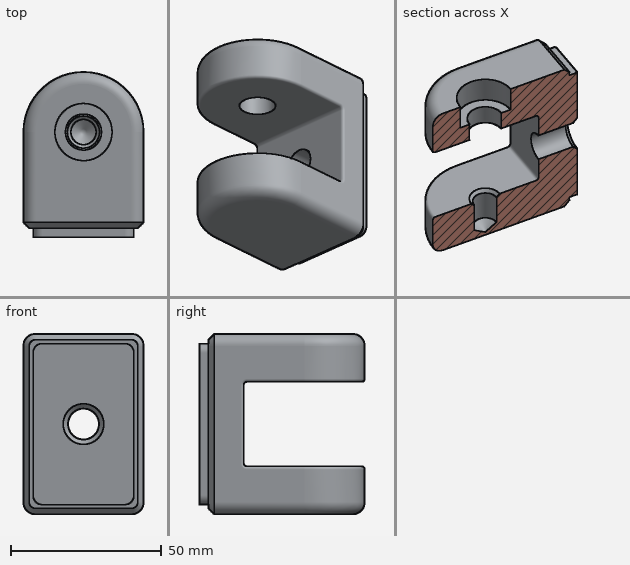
import cadquery as cq
import math

height = 60.0
width = 40.0
nose_radius = width / 2
body_front = -32.0
edge_radius = 4.0
front_chamfer = 2.0

pad_thickness = 3.0
pad_width = 33.5
pad_height = 53.5
pad_corner_radius = 3.0
pad_front = body_front - pad_thickness

slot_height = 28.0
slot_floor = -20.15
slot_edge_radius = 1.0

pin_bore_diameter = 12.0
pin_head_diameter = 19.0
pin_head_depth = 9.0

thread_diameter = 8.4
thread_mouth_diameter = 10.7
thread_depth = 12.0
drill_tip_angle = 118.0

mount_diameter = 10.2
mount_mouth_diameter = 13.5


def make_body():
    """Block with a half-round nose, rounded top and bottom edges and a chamfered front."""
    body = (
        cq.Workplane("XY", origin=(0, 0, -height / 2))
        .moveTo(-nose_radius, body_front)
        .lineTo(nose_radius, body_front)
        .lineTo(nose_radius, 0)
        .threePointArc((0, nose_radius), (-nose_radius, 0))
        .close()
        .extrude(height)
    )
    body = body.faces("|Z").edges("not <Y").fillet(edge_radius)
    return body.faces("<Y").chamfer(front_chamfer)


def cut_slot(body):
    """Open the slot toward the nose and round its floor corners and rim."""
    slot_length = width - slot_floor
    slot = (
        cq.Workplane("XY")
        .box(2 * width, slot_length, slot_height)
        .translate((0, slot_floor + slot_length / 2, 0))
        .edges("|X and <Y")
        .fillet(slot_edge_radius)
    )
    slotted = body.cut(slot)
    margin = 0.05
    rim = slotted.edges(cq.selectors.BoxSelector(
        (-width, slot_floor - margin, -slot_height / 2 - margin),
        (width, width, slot_height / 2 + margin),
    ))
    outer_rim = [
        edge for edge in rim.vals()
        if edge.geomType() == "CIRCLE" or edge.BoundingBox().xlen < margin
    ]
    return slotted.newObject(outer_rim).fillet(slot_edge_radius)


def make_pad():
    """Rounded rectangular pad standing proud of the front face."""
    return (
        cq.Workplane("XY")
        .box(pad_width, pad_thickness, pad_height)
        .edges("|Y")
        .fillet(pad_corner_radius)
        .translate((0, body_front - pad_thickness / 2, 0))
    )


def make_pin_cutter():
    """Counterbored pin hole, cut down from the top of the upper arm."""
    bore = cq.Workplane("XY").circle(pin_bore_diameter / 2).extrude(height / 2)
    head = (
        cq.Workplane("XY", origin=(0, 0, height / 2 - pin_head_depth))
        .circle(pin_head_diameter / 2)
        .extrude(pin_head_depth)
    )
    return bore.union(head)


def make_thread_cutter():
    """Countersunk blind hole with a conical drill tip, cut into the lower arm."""
    arm_face = -slot_height / 2
    radius = thread_diameter / 2
    mouth_radius = thread_mouth_diameter / 2
    hole_bottom = arm_face - thread_depth
    tip_depth = radius / math.tan(math.radians(drill_tip_angle / 2))
    return (
        cq.Workplane("XZ")
        .moveTo(0, arm_face)
        .lineTo(mouth_radius, arm_face)
        .lineTo(radius, arm_face - (mouth_radius - radius))
        .lineTo(radius, hole_bottom)
        .lineTo(0, hole_bottom - tip_depth)
        .close()
        .revolve(360, (0, 0, 0), (0, 1, 0))
    )


def make_mount_cutter():
    """Countersunk hole from the pad face into the slot."""
    radius = mount_diameter / 2
    mouth_radius = mount_mouth_diameter / 2
    return (
        cq.Workplane("XY")
        .moveTo(0, pad_front)
        .lineTo(mouth_radius, pad_front)
        .lineTo(radius, pad_front + (mouth_radius - radius))
        .lineTo(radius, 0)
        .lineTo(0, 0)
        .close()
        .revolve(360, (0, 0, 0), (0, 1, 0))
    )


result = (
    cut_slot(make_body())
    .union(make_pad())
    .cut(make_pin_cutter())
    .cut(make_thread_cutter())
    .cut(make_mount_cutter())
)